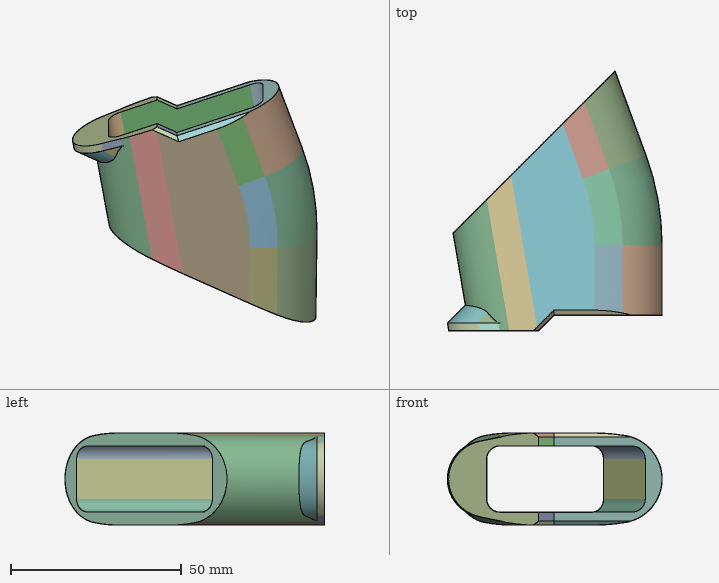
import cadquery as cq
import math

half_height = 13.49
right_edge = 62.8
tip_x = 49.1
tip_y = 76.0
bend_deg = 20.2
bend_radius = 76.0
lean_deg = 9.7
left_edge = 6.5
reach = 68.4
lead = 7.6

side_radius = 12.9
side_depth = 11.5
flat_depth = 19.7

wall = 4.95
bore_half_height = 9.65
bore_corner = 3.8
bore_right_x = 57.9
bore_right_lean_deg = 10.2

lip_height = 2.3
lip_radius = 11.25
lip_arc_depth = 9.0
lip_depth = 17.5
lip_back_run = 6.1

step_x = 26.7
step_height = 4.55
step_bevel_run = 1.5
step_bevel_depth = 1.15

lean = math.radians(lean_deg)
bend = math.radians(bend_deg)
corner_y = tip_y - (right_edge - tip_x) / math.tan(bend)
bend_tangent = bend_radius * math.tan(bend / 2)
bend_start_y = corner_y - bend_tangent


def mouth_plane(x, y, inward):
    """Plane facing +Y whose local x points inward from a side wall."""
    return cq.Plane(origin=(x, y, 0), xDir=(inward, 0, 0), normal=(0, 1, 0))


def leaning_plane(x, y, angle, inward, setback=lead):
    """Plane across a wall that leans left by angle, setback before (x, y) on that wall."""
    along = (-math.sin(angle), math.cos(angle), 0)
    across = (inward * math.cos(angle), inward * math.sin(angle), 0)
    start = (x - setback * along[0], y - setback * along[1], 0)
    return cq.Plane(origin=start, xDir=across, normal=along)


def outer_profile(plane):
    """Half-open duct section with one rounded side at local x = 0."""
    side_z = math.sqrt(side_radius**2 - (side_radius - side_depth) ** 2)
    run = flat_depth - side_depth
    drop = half_height - side_z
    blend_radius = (run**2 + drop**2) / (2 * drop)
    mid_depth = flat_depth - run / 2
    mid_z = half_height - blend_radius + math.sqrt(blend_radius**2 - (run / 2) ** 2)
    return (
        cq.Workplane(plane)
        .moveTo(reach, half_height)
        .lineTo(flat_depth, half_height)
        .threePointArc((mid_depth, mid_z), (side_depth, side_z))
        .threePointArc((0, 0), (side_depth, -side_z))
        .threePointArc((mid_depth, -mid_z), (flat_depth, -half_height))
        .lineTo(reach, -half_height)
        .close()
    )


def bore_profile(plane):
    """Half-open bore section with two rounded corners at local x = wall."""
    flat_z = bore_half_height - bore_corner
    corner_x = wall + bore_corner
    return (
        cq.Workplane(plane)
        .moveTo(reach, bore_half_height)
        .lineTo(corner_x, bore_half_height)
        .radiusArc((wall, flat_z), -bore_corner)
        .lineTo(wall, -flat_z)
        .radiusArc((corner_x, -bore_half_height), -bore_corner)
        .lineTo(reach, -bore_half_height)
        .close()
    )


def along_left_wall(profile):
    """Run a profile straight along the leaning left wall."""
    return profile(leaning_plane(left_edge, 0, lean, 1)).extrude(tip_y + 2 * lead)


def along_right_wall(profile):
    """Run a profile up the right wall, around its bend and straight on."""
    bend_end_x = right_edge - bend_tangent * math.sin(bend)
    bend_end_y = corner_y + bend_tangent * math.cos(bend)
    last_plane = leaning_plane(bend_end_x, bend_end_y, bend, -1, setback=0)
    first = profile(mouth_plane(right_edge, -lead, -1)).extrude(bend_start_y + lead)
    turn = profile(mouth_plane(right_edge, bend_start_y, -1)).revolve(
        bend_deg, (bend_radius, 0), (bend_radius, 1)
    )
    last = profile(last_plane).extrude(tip_y)
    return first.union(turn).union(last)


def body():
    """Outer duct: the overlap of the two half-open runs, trimmed at both ends."""
    return along_left_wall(outer_profile).intersect(along_right_wall(outer_profile)).intersect(plan_limits())


def bore():
    """Rectangular bore between two straight walls, narrowing slightly toward the end face."""
    right_lean = math.radians(bore_right_lean_deg)
    right_x = bore_right_x + wall / math.cos(right_lean)
    right_plane = leaning_plane(right_x, step_height, right_lean, -1)
    right_run = bore_profile(right_plane).extrude(tip_y + 2 * lead)
    return along_left_wall(bore_profile).intersect(right_run)


def lip_profile(plane):
    """Rounded lip outline with straight flanks tangent to its arc."""
    to_center = lip_radius - lip_arc_depth
    arc_z = math.sqrt(lip_radius**2 - to_center**2)
    flank_z = arc_z + (lip_depth - lip_arc_depth) * to_center / arc_z
    return (
        cq.Workplane(plane)
        .moveTo(lip_depth, flank_z)
        .lineTo(lip_arc_depth, arc_z)
        .threePointArc((0, 0), (lip_arc_depth, -arc_z))
        .lineTo(lip_depth, -flank_z)
        .close()
    )


def lip():
    """Leaning lip with a 45 degree back that slopes into the left wall."""
    top = lip_profile(mouth_plane(0, lip_height, 1)).val()
    back = cq.Solid.extrudeLinear(top, [], cq.Vector(lip_back_run, lip_back_run, 0))
    band = lip_profile(leaning_plane(0, lip_height, lean, 1)).extrude(2 * lead)
    slab = cq.Workplane("XY", origin=(0, lip_height / 2, 0)).box(2 * reach, lip_height, 4 * half_height)
    return band.intersect(slab).union(cq.Workplane(back))


def plan_limits():
    """Block that trims the duct to the mouth and the 45 degree end face."""
    end_offset = tip_y - tip_x
    far_x = 2 * reach
    return (
        cq.Workplane("XY")
        .polyline([(-end_offset, 0), (far_x, 0), (far_x, far_x + end_offset)])
        .close()
        .extrude(2 * half_height, both=True)
    )


def step_outline(z, shift):
    """Plan outline of the step at height z, moved along Y by shift."""
    far_x = right_edge + lead
    points = [
        (step_x - lead, shift - lead, z),
        (step_x + step_height, shift + step_height, z),
        (far_x, shift + step_height, z),
        (far_x, shift - lead, z),
    ]
    return cq.Wire.makePolygon([cq.Vector(*point) for point in points], close=True)


def step():
    """Step cut across the mouth, with its outer edges bevelled."""
    bevel_z = half_height - step_bevel_depth
    height = cq.Vector(0, 0, 2 * half_height)
    cutter = cq.Workplane(cq.Solid.extrudeLinear(step_outline(-half_height, 0), [], height))
    for side in (-1, 1):
        outlines = [step_outline(side * bevel_z, 0), step_outline(side * half_height, step_bevel_run)]
        cutter = cutter.union(cq.Workplane(cq.Solid.makeLoft(outlines, True)))
    return cutter


result = body().union(lip()).cut(bore()).cut(step())